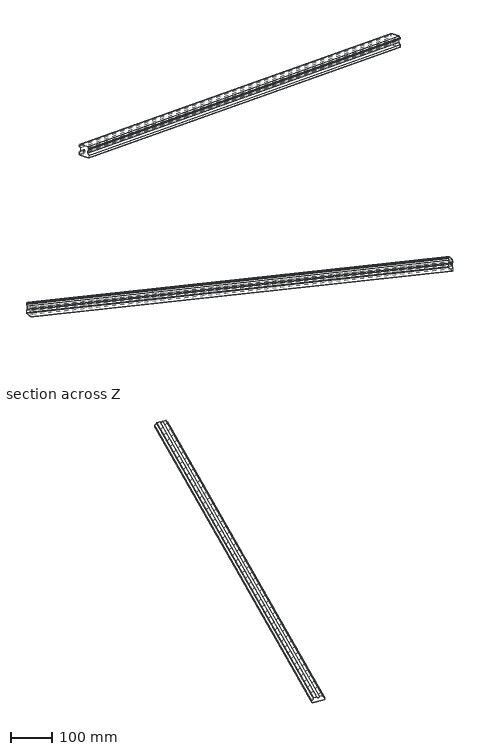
import cadquery as cq

length = 1090.0
width = 34.0
height = 29.0

top_width = 26.6
head_side_top = 25.6
head_side_bottom = 22.4
upper_groove_depth = 1.5
lower_groove_depth = 0.8

waist_width = 24.6
waist_top = 15.3
waist_bottom = 12.0
undercut_width = 25.2
undercut_height = 19.6

foot_side_top = 7.3
bottom_chamfer = 1.6

bore_diameter = 6.0
bore_height = height / 2

half_length = length / 2
half_width = width / 2
half_top = top_width / 2
half_undercut = undercut_width / 2
half_waist = waist_width / 2


def half_section():
    """Right half of the rail section, in X and Z, with its base on Z = 0."""
    return (
        cq.Workplane("XZ")
        .lineTo(half_width - bottom_chamfer, 0)
        .lineTo(half_width, bottom_chamfer)
        .lineTo(half_width, foot_side_top)
        .lineTo(half_waist, waist_bottom)
        .lineTo(half_waist, waist_top)
        .lineTo(half_undercut, undercut_height)
        .sagittaArc((half_width, head_side_bottom), lower_groove_depth)
        .lineTo(half_width, head_side_top)
        .sagittaArc((half_top, height), upper_groove_depth)
        .lineTo(0, height)
        .close()
    )


def rail_body():
    """Half section extruded along Y and joined to its mirror image across X = 0."""
    half = half_section().extrude(half_length, both=True)
    return half.union(half.mirror("YZ")).clean()


def bore():
    """Cylinder running the full length of the rail."""
    section = cq.Workplane("XZ").center(0, bore_height).circle(bore_diameter / 2)
    return section.extrude(half_length, both=True)


result = rail_body().cut(bore())